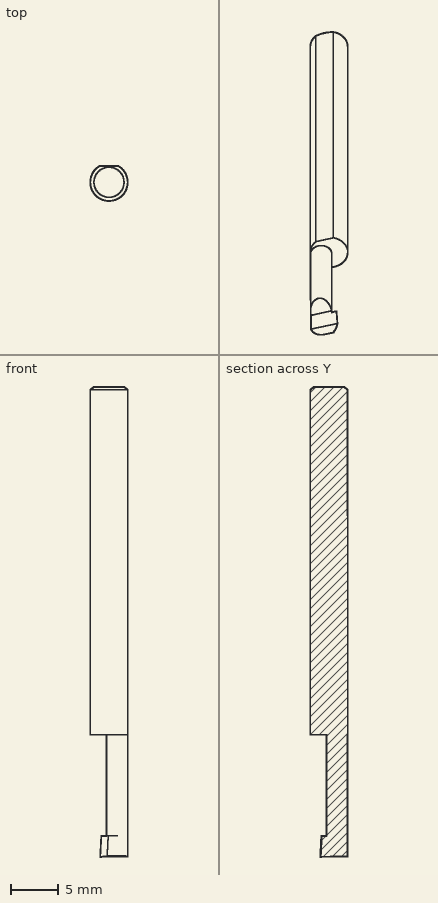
import cadquery as cq
import math

total_length = 50.0
shank_radius = 2.0
shank_length = 37.0
shank_flat_y = 1.75
end_chamfer_width = 0.4
end_chamfer_height = 0.3

neck_radius = 1.14
neck_axis_x = shank_radius - neck_radius
shank_bottom_z = total_length - shank_length

head_height = 2.25
tip_x = -0.95
side_edge_angle = 3.0
flank_break_x = 0.46
flank_break_y = -0.78
heel_x = 0.75

rake_face_top_z = 2.5
runout_angle = 45.0
end_edge_angle = 1.0
end_relief_angle = 5.0

cut_margin = 5.0


def make_shank():
    shank = (
        cq.Workplane("XZ")
        .moveTo(0, shank_bottom_z)
        .lineTo(shank_radius, shank_bottom_z)
        .lineTo(shank_radius, total_length - end_chamfer_height)
        .lineTo(shank_radius - end_chamfer_width, total_length)
        .lineTo(0, total_length)
        .close()
        .revolve(360, (0, 0, 0), (0, 1, 0))
    )
    keep_depth = shank_radius + shank_flat_y
    keep = (
        cq.Workplane("XY")
        .box(2 * shank_radius, keep_depth, total_length, centered=(True, False, False))
        .translate((0, -shank_radius, 0))
    )
    return shank.intersect(keep)


def make_neck():
    neck = cq.Workplane("XY").center(neck_axis_x, 0).circle(neck_radius).extrude(shank_bottom_z)
    runout_z = rake_face_top_z + cut_margin * math.tan(math.radians(runout_angle))
    rake_relief = (
        cq.Workplane("YZ", origin=(-cut_margin, 0, 0))
        .moveTo(0, -cut_margin)
        .lineTo(0, rake_face_top_z)
        .lineTo(cut_margin, runout_z)
        .lineTo(cut_margin, -cut_margin)
        .close()
        .extrude(2 * cut_margin)
    )
    return neck.cut(rake_relief)


def head_profile(workplane, edge_x):
    """Closed outline behind the rake face, from the side cutting edge to the neck axis."""
    return (
        workplane.moveTo(neck_axis_x, 0)
        .lineTo(neck_axis_x, -neck_radius)
        .lineTo(edge_x + heel_x, -neck_radius)
        .lineTo(edge_x + flank_break_x, flank_break_y)
        .tangentArcPoint((edge_x, 0), relative=False)
        .close()
    )


def make_head():
    """The side cutting edge leans inwards from the tip to the top of the head."""
    lean = head_height * math.tan(math.radians(side_edge_angle))
    bottom = head_profile(cq.Workplane("XY"), tip_x)
    both_ends = head_profile(bottom.workplane(offset=head_height), tip_x + lean)
    return both_ends.loft(ruled=True)


def end_clearance():
    """Block whose top face slopes up from the tip, towards +X and towards -Y."""
    size = 2 * cut_margin
    return (
        cq.Workplane("XY")
        .box(size, size, cut_margin, centered=(True, True, False))
        .translate((0, 0, -cut_margin))
        .rotate((0, 0, 0), (1, 0, 0), -end_relief_angle)
        .rotate((0, 0, 0), (0, 1, 0), -end_edge_angle)
        .translate((tip_x, 0, 0))
    )


tool_end = make_neck().union(make_head()).cut(end_clearance())
result = make_shank().union(tool_end)